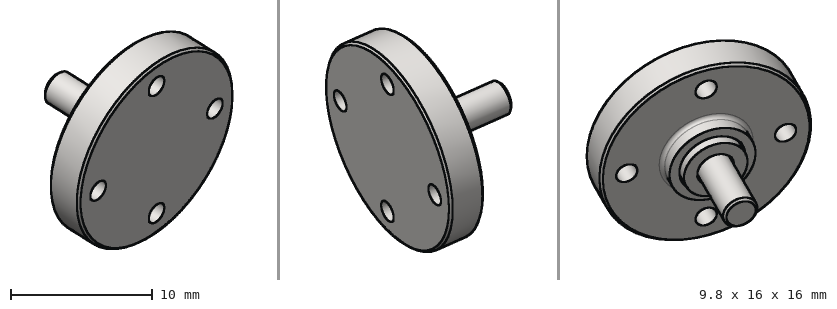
import cadquery as cq

flange_diameter = 16.0
flange_thickness = 2.9
flange_chamfer = 0.2
hub_diameter = 6.5
hub_height = 1.25
hub_fillet = 0.3
bolt_circle_diameter = 12.0
bolt_hole_diameter = 1.6
bolt_hole_count = 4

bushing_diameter = 4.8
bushing_protrusion = 0.64
bushing_clearance = 0.1

shaft_diameter = 2.6
shaft_clearance = 0.1
shaft_chamfer = 0.2
overall_length = 9.8

recess_floor = flange_thickness
recess_diameter = bushing_diameter + 2 * bushing_clearance
bushing_bore_diameter = shaft_diameter + 2 * shaft_clearance
hub_end = flange_thickness + hub_height
bushing_end = hub_end + bushing_protrusion


def cylinder(diameter, start, end):
    """Cylinder on the X axis, between two distances in front of the back face."""
    return cq.Workplane("YZ").workplane(offset=-start).circle(diameter / 2).extrude(start - end)


def make_hub_profile():
    """Half section of the hub with its concave root fillet, as X and radius."""
    radius = hub_diameter / 2
    return (
        cq.Workplane("XY")
        .moveTo(-flange_thickness, 0)
        .lineTo(-flange_thickness, radius + hub_fillet)
        .radiusArc((-flange_thickness - hub_fillet, radius), hub_fillet)
        .lineTo(-hub_end, radius)
        .lineTo(-hub_end, 0)
        .close()
    )


def make_bolt_holes():
    return (
        cq.Workplane("YZ")
        .polarArray(bolt_circle_diameter / 2, 0, 360, bolt_hole_count)
        .circle(bolt_hole_diameter / 2)
        .extrude(-flange_thickness)
    )


def make_housing():
    flange = cylinder(flange_diameter, 0, flange_thickness)
    flange = flange.faces("<X or >X").chamfer(flange_chamfer)
    hub = make_hub_profile().revolve(360, (0, 0, 0), (1, 0, 0))
    recess = cylinder(recess_diameter, recess_floor, hub_end)
    return flange.union(hub).cut(make_bolt_holes()).cut(recess)


def make_bushing():
    sleeve = cylinder(bushing_diameter, recess_floor, bushing_end)
    bore = cylinder(bushing_bore_diameter, recess_floor, bushing_end)
    return sleeve.cut(bore)


def make_shaft():
    return cylinder(shaft_diameter, recess_floor, overall_length).faces("<X").chamfer(shaft_chamfer)


housing = make_housing()
bushing = make_bushing()
shaft = make_shaft()

result = cq.Compound.makeCompound([housing.val(), bushing.val(), shaft.val()])